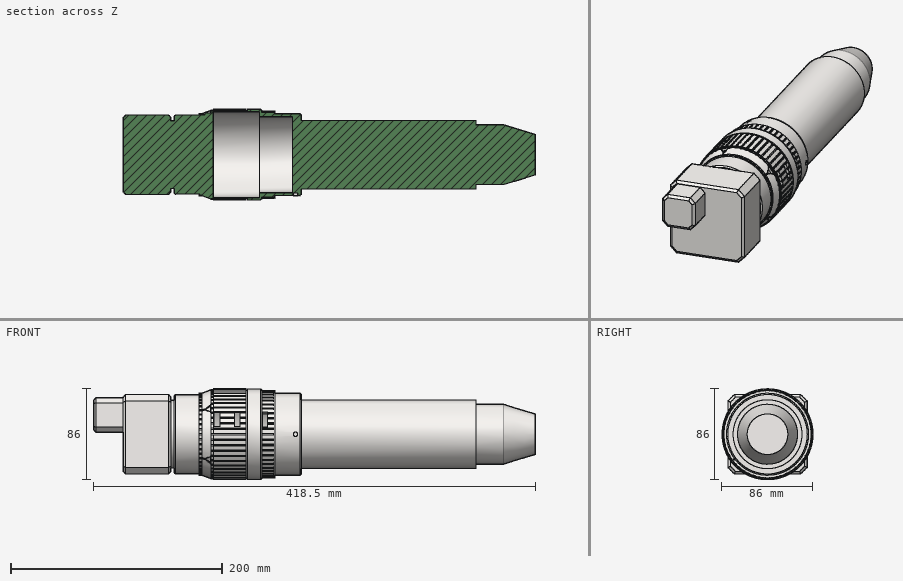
import cadquery as cq
import math

plug_length = 28.0
plug_low, plug_high = 1.5, 34.7
plug_edge_bevel = 5.0
block_end = 73.2
block_width = 75.5
block_edge_bevel = 6.3
rim_bevel_length = 2.0
rim_bevel_inset = 2.5

overall_length = 418.5
neck_radius = 32.2
neck_end = 76.0
front_radius, front_bevel = 37.5, 1.3
collar_start, collar_end, collar_radius = 100.0, 102.5, 39.0
nose_end, nose_radius = 111.5, 42.3
grip_start, grip_end, grip_radius = 113.5, 144.5, 43.0
relief_end, relief_radius = 145.5, 42.0
band_end, band_bevel = 159.5, 1.3
ring_end, ring_radius = 171.5, 41.5
sleeve_end, sleeve_radius, sleeve_bevel = 196.5, 39.0, 1.3
tube_end, tube_radius = 362.5, 32.5
tip_radius, tip_cone_start, tip_end_radius = 28.5, 388.5, 19.2

groove_count = 50
groove_pitch = 360 / groove_count
groove_width = 1.3
grip_groove_floor = 42.0
ring_groove_end = 170.5
ring_groove_floor = 40.0
collar_notch_floor = 38.5

arrow_count = 5
arrow_first_angle = 36
arrow_tip, arrow_tail = 105.5, 111.0
arrow_half_width = 4.0
arrow_depth = 1.0
arrow_slit_width = 1.0

grip_cavity_end, grip_cavity_radius = 157.0, 40.5
sleeve_cavity_end, sleeve_cavity_radius = 188.5, 36.0
window_angle = 20
window_width = 15.0
grip_windows = [(114.2, 119.5), (133.5, 138.5)]
ring_window = (160.0, 165.0)

pin_count = 3
pin_position = 191.2
pin_diameter = 4.0
pin_depth = 2.5

cut_overlap = 4.0


def around_axis(shape, angle):
    """Turn a shape made on the -Y side about X; positive angles go up toward +Z."""
    return shape.rotate((0, 0, 0), (1, 0, 0), -angle)


def bevelled_block(x_start, x_end, width, center, edge_bevel, bevel_both_ends):
    """Square prism along X whose long edges and end rims are bevelled."""
    taper = math.degrees(math.atan(rim_bevel_inset / rim_bevel_length))
    outline = cq.Sketch().rect(width, width).vertices().chamfer(edge_bevel)
    body_start = x_start + rim_bevel_length
    body_end = x_end - rim_bevel_length if bevel_both_ends else x_end
    front = cq.Workplane("YZ", origin=(body_start, center, center)).placeSketch(outline)
    block = front.extrude(body_end - body_start)
    block = block.union(front.extrude(-rim_bevel_length, taper=taper))
    if bevel_both_ends:
        back = cq.Workplane("YZ", origin=(body_end, center, center)).placeSketch(outline)
        block = block.union(back.extrude(rim_bevel_length, taper=taper))
    return block


def turned_body():
    """Everything that is round about the X axis."""
    profile = [
        (block_end - rim_bevel_length, 0),
        (block_end - rim_bevel_length, neck_radius),
        (neck_end, neck_radius),
        (neck_end, front_radius - front_bevel),
        (neck_end + front_bevel, front_radius),
        (collar_start, front_radius),
        (collar_start, collar_radius),
        (collar_end, collar_radius),
        (nose_end, nose_radius),
        (grip_start, nose_radius),
        (grip_start, grip_radius),
        (grip_end, grip_radius),
        (grip_end, relief_radius),
        (relief_end, relief_radius),
        (relief_end, grip_radius),
        (band_end - band_bevel, grip_radius),
        (band_end, grip_radius - band_bevel),
        (band_end, ring_radius),
        (ring_end, ring_radius),
        (ring_end, sleeve_radius),
        (sleeve_end - sleeve_bevel, sleeve_radius),
        (sleeve_end, sleeve_radius - sleeve_bevel),
        (sleeve_end, tube_radius),
        (tube_end, tube_radius),
        (tube_end, tip_radius),
        (tip_cone_start, tip_radius),
        (overall_length, tip_end_radius),
        (overall_length, 0),
    ]
    return cq.Workplane("XY").polyline(profile).close().revolve(360, (0, 0, 0), (1, 0, 0))


def radial_box(x_start, x_end, floor_radius, width, height=cut_overlap):
    """Box on the -Y side reaching outward from floor_radius."""
    return cq.Workplane("XY").box(x_end - x_start, height, width).translate(
        ((x_start + x_end) / 2, -floor_radius - height / 2, 0)
    )


def axial_grooves(x_start, x_end, floor_radius):
    """Evenly spaced grooves along X, as one compound cutter."""
    groove = radial_box(x_start, x_end, floor_radius, groove_width)
    cutters = [around_axis(groove, i * groove_pitch).val() for i in range(groove_count)]
    return cq.Compound.makeCompound(cutters)


def arrow_marks():
    """Triangular recesses on the nose, each led in by a fine slit from the collar."""
    mean_radius = (collar_radius + nose_radius) / 2
    arrow = (
        cq.Workplane("XZ", origin=(0, -mean_radius + arrow_depth, 0))
        .polyline([(arrow_tip, 0), (arrow_tail, arrow_half_width), (arrow_tail, -arrow_half_width)])
        .close()
        .extrude(cut_overlap)
    )
    slit = radial_box(collar_start, arrow_tip, collar_radius - arrow_depth, arrow_slit_width)
    step = 360 / arrow_count
    marks = []
    for i in range(arrow_count):
        angle = arrow_first_angle + i * step
        marks += [around_axis(arrow, angle).val(), around_axis(slit, angle).val()]
    return cq.Compound.makeCompound(marks)


def cavity():
    """Stepped round hollow, wide inside the grip and narrower inside the sleeve."""
    wide = (
        cq.Workplane("YZ", origin=(grip_start, 0, 0))
        .circle(grip_cavity_radius)
        .extrude(grip_cavity_end - grip_start)
    )
    narrow = (
        cq.Workplane("YZ", origin=(grip_start, 0, 0))
        .circle(sleeve_cavity_radius)
        .extrude(sleeve_cavity_end - grip_start)
    )
    return wide.union(narrow)


def window(x_start, x_end):
    """Rectangular opening through the wall into the hollow."""
    floor_radius = sleeve_cavity_radius - cut_overlap
    height = grip_radius + cut_overlap - floor_radius
    return around_axis(radial_box(x_start, x_end, floor_radius, window_width, height), window_angle)


def pin_holes():
    """Blind radial holes spaced evenly around the sleeve."""
    hole = (
        cq.Workplane("XZ", origin=(pin_position, -sleeve_radius + pin_depth, 0))
        .circle(pin_diameter / 2)
        .extrude(pin_depth + cut_overlap)
    )
    holes = [around_axis(hole, i * 360 / pin_count).val() for i in range(pin_count)]
    return cq.Compound.makeCompound(holes)


body = turned_body()
body = body.cut(cq.Workplane(axial_grooves(nose_end, grip_end, grip_groove_floor)))
body = body.cut(cq.Workplane(axial_grooves(band_end, ring_groove_end, ring_groove_floor)))
body = body.cut(cq.Workplane(axial_grooves(collar_start, collar_end, collar_notch_floor)))
body = body.cut(cq.Workplane(arrow_marks()))
body = body.cut(cavity())
for window_start, window_end in grip_windows + [ring_window]:
    body = body.cut(window(window_start, window_end))
body = body.cut(cq.Workplane(pin_holes()))

plug = bevelled_block(
    0, plug_length + rim_bevel_length, plug_high - plug_low, (plug_low + plug_high) / 2,
    plug_edge_bevel, bevel_both_ends=False,
)
block = bevelled_block(
    plug_length, block_end, block_width, 0, block_edge_bevel, bevel_both_ends=True,
)

result = body.union(block).union(plug)